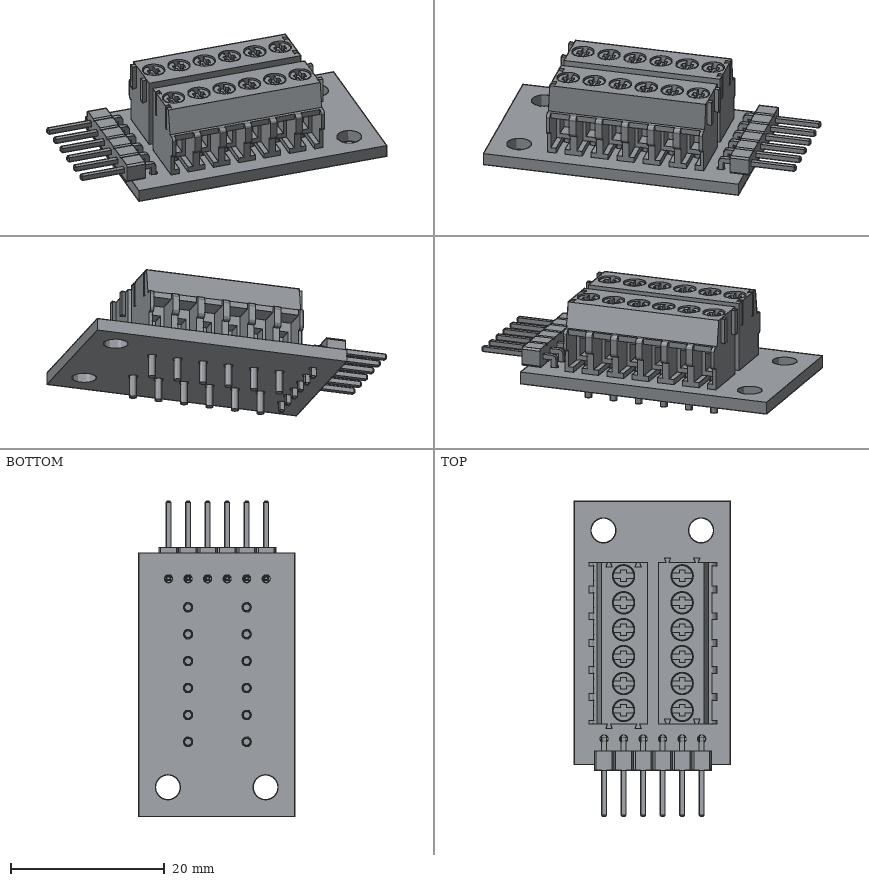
import cadquery as cq
import math


board_width = 20.32
board_length = 34.29
board_thickness = 1.625
mount_hole_diameter = 3.2
mount_hole_spacing = 12.7
mount_hole_back_offset = 3.81
header_hole_diameter = 1.0
terminal_hole_diameter = 1.2

connector_centre_x = 0.08

ways = 6
way_pitch = 3.5
block_length = ways * way_pitch
block_height = 9.2
block_front = 5.32
block_centre_y = block_front + block_length / 2
top_width = 5.95
taper_foot_width = 6.55
body_width = 7.0
rib_width = 7.6
rib_bottom = 2.9
shelf_height = 5.8
rib_top_radius = 0.5
rib_bottom_radius = 0.4

row_spacing = 7.62
pin_u = 3.1
inner_face_x = row_spacing / 2 - pin_u
terminal_pin_diameter = 0.9
terminal_pin_bottom = -4.5

pocket_width = 2.6
pocket_floor = 0.7
pocket_ceiling = 5.05
pocket_back_u = 4.0
pin_slot_width = 1.2
wire_hole_width = 1.7
wire_hole_bottom = 1.35
wire_hole_height = 2.4
wire_hole_depth = 2.0

screw_bore_diameter = 2.9
screw_bore_depth = 1.2
screw_diameter = 2.7
screw_sink = 0.2
drive_depth = 0.7
drive_width = 0.7
cross_width = 0.75
cross_length = 1.5

key_positions_u = (1.2, 5.0)
key_length = 3.3
key_depth = 0.6
key_neck_width = 0.4
key_width = 0.8

header_ways = 6
header_pitch = 2.54
header_front = -0.74
header_notch = 0.25
header_pin_size = 0.64
header_pin_axis_z = header_pitch / 2
header_pin_y = 3.3
header_hole_y = 3.36
header_pin_front = -6.74
header_pin_bottom = -2.9
header_pin_tip = 0.2
header_pin_tip_inset = 0.15
header_bend_radius = 0.55


def centred_row(count, pitch):
    """Positions of an evenly spaced row centred on zero."""
    return [(index - (count - 1) / 2) * pitch for index in range(count)]


way_offsets = centred_row(ways, way_pitch)
header_xs = centred_row(header_ways, header_pitch)


def make_board():
    board = cq.Workplane("XY").box(board_width, board_length, board_thickness, centered=(True, False, False))
    board = board.translate((0, 0, -board_thickness))
    mount_points = [(side * mount_hole_spacing / 2, board_length - mount_hole_back_offset) for side in (-1, 1)]
    header_points = [(connector_centre_x + x, header_hole_y) for x in header_xs]
    terminal_points = [
        (connector_centre_x + side * row_spacing / 2, block_centre_y + offset)
        for side in (-1, 1)
        for offset in way_offsets
    ]
    for points, diameter in (
        (mount_points, mount_hole_diameter),
        (header_points, header_hole_diameter),
        (terminal_points, terminal_hole_diameter),
    ):
        holes = cq.Workplane("XY").pushPoints(points).circle(diameter / 2).extrude(-board_thickness)
        board = board.cut(holes)
    return board


def block_box(u_start, u_end, y_centre, width, z_start, z_end):
    """Box between two distances u from the inner face, centred on y_centre."""
    box = cq.Workplane("XY").box(u_end - u_start, width, z_end - z_start, centered=(False, True, False))
    return box.translate((u_start, y_centre, z_start))


def block_body():
    """Stepped cross-section of a block, with a tapered top and rounded outer ribs."""
    diagonal = math.sqrt(0.5)
    top_arc_middle = (
        rib_width - rib_top_radius * (1 - diagonal),
        shelf_height - rib_top_radius * (1 - diagonal),
    )
    bottom_arc_middle = (
        rib_width - rib_bottom_radius * (1 - diagonal),
        rib_bottom + rib_bottom_radius * (1 - diagonal),
    )
    profile = (
        cq.Workplane("XZ")
        .moveTo(0, 0)
        .lineTo(0, block_height)
        .lineTo(top_width, block_height)
        .lineTo(taper_foot_width, shelf_height)
        .lineTo(rib_width - rib_top_radius, shelf_height)
        .threePointArc(top_arc_middle, (rib_width, shelf_height - rib_top_radius))
        .lineTo(rib_width, rib_bottom + rib_bottom_radius)
        .threePointArc(bottom_arc_middle, (rib_width - rib_bottom_radius, rib_bottom))
        .lineTo(body_width, rib_bottom)
        .lineTo(body_width, 0)
        .close()
    )
    return profile.extrude(block_length / 2, both=True)


def wire_entry(y):
    """Everything removed at the outer face of one way: pocket, rib gap, wire hole and pin slot."""
    rib_gap = block_box(body_width, rib_width, y, pocket_width, 0, shelf_height)
    pocket = block_box(pocket_back_u, body_width, y, pocket_width, pocket_floor, pocket_ceiling)
    wire_hole = block_box(
        pocket_back_u - wire_hole_depth, pocket_back_u, y, wire_hole_width,
        wire_hole_bottom, wire_hole_bottom + wire_hole_height,
    )
    slot = block_box(pin_u, body_width, y, pin_slot_width, 0, pocket_floor)
    slot_end = cq.Workplane("XY").center(pin_u, y).circle(pin_slot_width / 2).extrude(pocket_floor)
    return rib_gap.union(pocket).union(wire_hole).union(slot).union(slot_end)


def screw_recess(y):
    """Bore in the top face around one screw head."""
    bore = cq.Workplane("XY").center(pin_u, y).circle(screw_bore_diameter / 2).extrude(-screw_bore_depth)
    return bore.translate((0, 0, block_height))


def screw_head(y):
    """Sunken screw head with a full-width slot and a short cross slot."""
    head_height = screw_bore_depth - screw_sink
    head = cq.Workplane("XY").circle(screw_diameter / 2).extrude(head_height)
    slot_floor = cq.Workplane("XY").workplane(offset=head_height - drive_depth)
    head = head.cut(slot_floor.rect(screw_diameter, drive_width).extrude(drive_depth))
    head = head.cut(slot_floor.rect(cross_width, cross_length).extrude(drive_depth))
    return head.translate((pin_u, y, block_height - screw_bore_depth))


def terminal_pin(y):
    pin = cq.Workplane("XY").center(pin_u, y).circle(terminal_pin_diameter / 2)
    return pin.extrude(pocket_floor - terminal_pin_bottom).translate((0, 0, terminal_pin_bottom))


def dovetail(u, y):
    """Vertical dovetail bar with its neck at y, widening towards +Y."""
    outline = [
        (u - key_neck_width / 2, y),
        (u + key_neck_width / 2, y),
        (u + key_width / 2, y + key_depth),
        (u - key_width / 2, y + key_depth),
    ]
    bar = cq.Workplane("XY").polyline(outline).close().extrude(key_length)
    return bar.translate((0, 0, block_height - key_length))


def make_terminal_block():
    """Block for the +X row: inner face at X = 0, centred on Y = 0."""
    block = block_body()
    for y in way_offsets:
        block = block.cut(wire_entry(y)).cut(screw_recess(y))
        block = block.union(screw_head(y)).union(terminal_pin(y))
    for u in key_positions_u:
        block = block.union(dovetail(u, block_length / 2))
        block = block.cut(dovetail(u, -block_length / 2))
    return block.translate((inner_face_x, 0, 0))


def header_segment(x):
    """One housing segment, its long edges bevelled to leave V notches between segments."""
    segment = cq.Workplane("XY").box(header_pitch, header_pitch, header_pitch, centered=(True, False, False))
    return segment.edges("|Y").chamfer(header_notch).translate((x, header_front, 0))


def header_pin(x):
    """Square pin bent from the board hole to the front, with tapered tips."""
    half = header_pin_size / 2
    rear = header_pin_y + half
    shank_bottom = header_pin_bottom + header_pin_tip
    shank_front = header_pin_front + header_pin_tip
    pin = (
        cq.Workplane("YZ")
        .moveTo(rear, shank_bottom)
        .lineTo(rear, header_pin_axis_z + half)
        .lineTo(shank_front, header_pin_axis_z + half)
        .lineTo(shank_front, header_pin_axis_z - half)
        .lineTo(header_pin_y - half, header_pin_axis_z - half)
        .lineTo(header_pin_y - half, shank_bottom)
        .close()
        .extrude(half, both=True)
    )
    pin = pin.edges("|X and >Y and >Z").fillet(header_bend_radius)
    tip_size = header_pin_size - 2 * header_pin_tip_inset
    tip = (
        cq.Workplane("XY")
        .rect(header_pin_size, header_pin_size)
        .workplane(offset=-header_pin_tip)
        .rect(tip_size, tip_size)
        .loft()
    )
    lower_tip = tip.translate((0, header_pin_y, shank_bottom))
    front_tip = tip.rotate((0, 0, 0), (1, 0, 0), -90).translate((0, shank_front, header_pin_axis_z))
    return pin.union(lower_tip).union(front_tip).translate((x, 0, 0))


def make_header():
    header = header_segment(header_xs[0])
    for x in header_xs[1:]:
        header = header.union(header_segment(x))
    for x in header_xs:
        header = header.union(header_pin(x))
    return header.translate((connector_centre_x, 0, 0))


board = make_board()
header = make_header()
terminal_block = make_terminal_block()
blocks = [
    terminal_block.rotate((0, 0, 0), (0, 0, 1), turn).translate((connector_centre_x, block_centre_y, 0))
    for turn in (0, 180)
]

result = cq.Compound.makeCompound([board.val(), header.val(), *[block.val() for block in blocks]])